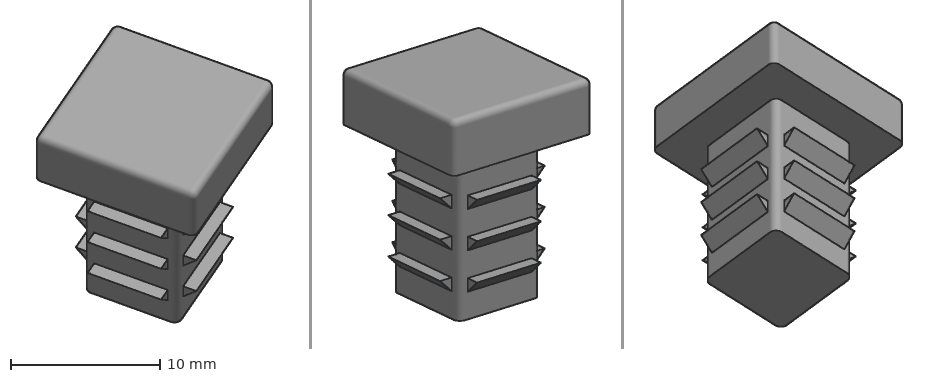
import cadquery as cq

total_height = 16.0
head_width = 12.0
head_height = 4.0
head_radius = 0.5

stem_width = 7.04
stem_radius = 0.55
stem_height = total_height - head_height

barb_length = 5.5
barb_reach = 1.0
barb_height = 1.0
barb_count = 3
barb_pitch = stem_height / 4
lowest_barb_top = barb_pitch
barb_root_overlap = 0.16


def make_head():
    """Square cap with rounded upright and top edges."""
    block = (
        cq.Workplane("XY")
        .workplane(offset=stem_height)
        .rect(head_width, head_width)
        .extrude(head_height)
    )
    return block.edges("|Z or >Z").fillet(head_radius)


def make_stem():
    """Square post with rounded upright edges."""
    post = cq.Workplane("XY").rect(stem_width, stem_width).extrude(stem_height)
    return post.edges("|Z").fillet(stem_radius)


def make_barb(top_z):
    """Wedge on the +X face of the stem."""
    face_x = stem_width / 2
    root_x = face_x - barb_root_overlap
    bottom_z = top_z - barb_height
    return (
        cq.Workplane("XZ")
        .moveTo(root_x, bottom_z)
        .lineTo(face_x, bottom_z)
        .lineTo(face_x + barb_reach, top_z)
        .lineTo(root_x, top_z)
        .close()
        .extrude(barb_length / 2, both=True)
    )


result = make_head().union(make_stem())
for level in range(barb_count):
    barb = make_barb(lowest_barb_top + level * barb_pitch)
    for angle in (0, 90, 180, 270):
        result = result.union(barb.rotate((0, 0, 0), (0, 0, 1), angle))